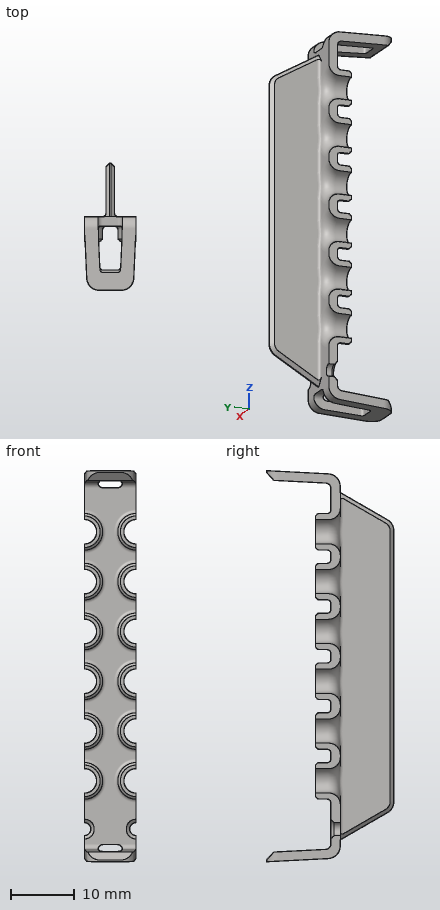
import cadquery as cq
import math

wall = 1.5
width = 8.11
half_width = width / 2
overall_height = 61.27
half_height = overall_height / 2

leg_reach = 10.05
leg_lean = 0.52
leg_tip_half_width = 3.62
leg_corner_radius = 2.0
leg_tip_bevel = 1.15
leg_tip_land = 0.3
bend_outer_radius = 2.0
bend_inner_radius = 0.8

slot_root_half_width = 1.9
slot_end_half_width = 1.6
upper_slot_end_y = -7.25
lower_slot_end_y = -6.85
slot_corner_radius = 0.5
window_end_z = 27.95
window_corner_radius = 0.75

collar_count = 6
collar_pitch = 7.8
collar_top_z = 21.05
collar_outer_radius = 2.87
collar_bore_radius = 1.9
collar_height = 2.4
collar_tip_chamfer = 0.4
collar_root_fillet = 0.57
collar_flare_radius = 1.8

notch_z = -25.5
notch_radius = 1.0
notch_sink = 0.55

fin_thickness = 1.4
fin_depth = 8.4
fin_root_half_height = 27.2
fin_slope_angle = 30
fin_corner_radius = 2.0
fin_edge_chamfer = 0.6
fin_root_fillet = 0.5

overlap = 0.5
collar_heights = [collar_top_z - i * collar_pitch for i in range(collar_count)]


def strip_half(slot_end_y):
    """Upper half of the plate with its bent, slotted leg."""
    root_z = half_height - leg_lean
    lean_at_back = leg_lean * wall / leg_reach
    bevel_start_y = -leg_reach + leg_tip_bevel
    lean_at_bevel = leg_lean * -bevel_start_y / leg_reach
    upper_half = (
        cq.Workplane("YZ")
        .moveTo(0, 0)
        .lineTo(0, root_z - wall)
        .lineTo(bevel_start_y, root_z - wall + lean_at_bevel)
        .lineTo(-leg_reach, half_height - leg_tip_land)
        .lineTo(-leg_reach, half_height)
        .lineTo(wall, root_z - lean_at_back)
        .lineTo(wall, 0)
        .close()
        .extrude(half_width, both=True)
    )
    outer_bend = cq.selectors.NearestToPointSelector((0, wall, root_z - lean_at_back))
    inner_bend = cq.selectors.NearestToPointSelector((0, 0, root_z - wall))
    upper_half = upper_half.edges(outer_bend).fillet(bend_outer_radius)
    upper_half = upper_half.edges(inner_bend).fillet(bend_inner_radius)

    footprint = (
        cq.Workplane("XY")
        .polyline([
            (-half_width, wall),
            (half_width, wall),
            (half_width, 0),
            (leg_tip_half_width, -leg_reach),
            (-leg_tip_half_width, -leg_reach),
            (-half_width, 0),
        ])
        .close()
        .extrude(half_height)
        .edges("|Z and <Y")
        .fillet(leg_corner_radius)
    )
    return upper_half.intersect(footprint).cut(leg_slot(slot_end_y))


def leg_slot(slot_end_y):
    """Cutter for the upper leg slot and its window in the plate."""
    slot = (
        cq.Workplane("XY", origin=(0, 0, window_end_z))
        .polyline([
            (-slot_root_half_width, wall + overlap),
            (slot_root_half_width, wall + overlap),
            (slot_root_half_width, 0),
            (slot_end_half_width, slot_end_y),
            (-slot_end_half_width, slot_end_y),
            (-slot_root_half_width, 0),
        ])
        .close()
        .extrude(half_height)
    )
    slot = slot.edges("|Z and <Y").fillet(slot_corner_radius)
    window_corners = slot.faces("<Z").edges("|Y")
    return window_corners.fillet(window_corner_radius)


def revolved(profile, x, z):
    """Turn a (radius, y) profile about the Y-parallel axis through x, z."""
    return profile.close().revolve(360, (0, 0, 0), (0, 1, 0)).translate((x, 0, z))


def collar_body(x, z):
    """Outer shape of a collar with its root fillet and tip chamfer."""
    root_radius = collar_outer_radius + collar_root_fillet
    arc_offset = collar_root_fillet * (1 - math.sqrt(0.5))
    profile = (
        cq.Workplane("XY")
        .moveTo(0, overlap)
        .lineTo(root_radius, overlap)
        .lineTo(root_radius, 0)
        .threePointArc(
            (collar_outer_radius + arc_offset, -arc_offset),
            (collar_outer_radius, -collar_root_fillet),
        )
        .lineTo(collar_outer_radius, collar_tip_chamfer - collar_height)
        .lineTo(collar_outer_radius - collar_tip_chamfer, -collar_height)
        .lineTo(0, -collar_height)
    )
    return revolved(profile, x, z)


def collar_bore(x, z):
    """Cutter for a collar bore that flares out towards the plate back."""
    flare_start_y = wall - collar_flare_radius
    arc_offset = collar_flare_radius * (1 - math.sqrt(0.5))
    profile = (
        cq.Workplane("XY")
        .moveTo(0, -collar_height - overlap)
        .lineTo(collar_bore_radius, -collar_height - overlap)
        .lineTo(collar_bore_radius, flare_start_y)
        .threePointArc(
            (collar_bore_radius + arc_offset, wall - arc_offset),
            (collar_bore_radius + collar_flare_radius, wall),
        )
        .lineTo(0, wall)
    )
    return revolved(profile, x, z)


def notch(x):
    """Cutter for an edge notch, countersunk on the plate front."""
    profile = (
        cq.Workplane("XY")
        .moveTo(0, 0)
        .lineTo(notch_radius + notch_sink, 0)
        .lineTo(notch_radius, notch_sink)
        .lineTo(notch_radius, wall)
        .lineTo(0, wall)
    )
    return revolved(profile, x, notch_z)


def fin():
    """Trapezoidal fin with a bevelled outer edge."""
    tip_y = wall + fin_depth
    tip_half_height = fin_root_half_height - fin_depth * math.tan(math.radians(fin_slope_angle))
    body = (
        cq.Workplane("YZ")
        .polyline([
            (wall - overlap, -fin_root_half_height),
            (wall, -fin_root_half_height),
            (tip_y, -tip_half_height),
            (tip_y, tip_half_height),
            (wall, fin_root_half_height),
            (wall - overlap, fin_root_half_height),
        ])
        .close()
        .extrude(fin_thickness / 2, both=True)
    )
    body = body.edges("|X and >Y").fillet(fin_corner_radius)
    rim = body.faces(">X or <X").edges(cq.selectors.BoxSelector(
        (-width, wall + overlap, -half_height), (width, tip_y + overlap, half_height)))
    return rim.chamfer(fin_edge_chamfer)


def round_fin_root(part):
    """Fillet the long edges where the fin sides meet the plate back and the flares."""
    half_fin = fin_thickness / 2
    margin = 0.05
    for side in (-half_fin, half_fin):
        root_edges = part.edges(cq.selectors.BoxSelector(
            (side - margin, wall - margin, -fin_root_half_height + fin_edge_chamfer),
            (side + margin, wall + margin, fin_root_half_height - fin_edge_chamfer)))
        part = root_edges.fillet(fin_root_fillet)
    return part


def build():
    lower_half = strip_half(lower_slot_end_y).mirror("XY")
    strip = strip_half(upper_slot_end_y).union(lower_half)
    envelope = cq.Workplane("XY").box(width, 2 * leg_reach, overall_height)
    for x in (-half_width, half_width):
        for z in collar_heights:
            strip = strip.union(collar_body(x, z).intersect(envelope))
        for z in collar_heights:
            strip = strip.cut(collar_bore(x, z))
        strip = strip.cut(notch(x))
    return round_fin_root(strip.union(fin()))


result = build()